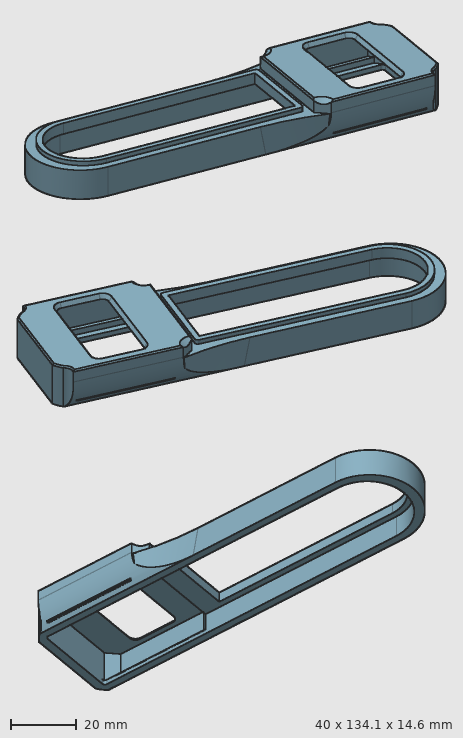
import cadquery as cq
import math

HEAD_HALF_WIDTH = 20.0
HEAD_FRONT_Y = -23.15
HEAD_BACK_Y = 21.75
HEAD_HEIGHT = 14.55
TOTAL_LENGTH = 134.1
TOP_CHAMFER = 0.5

ARM_HALF_WIDTH = 16.85
ARM_HEIGHT = 10.0
ARM_END_Y = HEAD_BACK_Y - TOTAL_LENGTH + ARM_HALF_WIDTH

LIP_HALF_WIDTH = 14.35
LIP_END_Y = ARM_END_Y + 1.0
LIP_HEIGHT = 1.5
LIP_WALL = 2.0
LIP_START_Y = -25.4
CORNER_RADIUS = 1.0
RECESS_DEPTH = 7.75

SIDE_ARC_Z = 10.5
SIDE_INSET = HEAD_HALF_WIDTH - ARM_HALF_WIDTH
SIDE_RADIUS = (SIDE_ARC_Z**2 + SIDE_INSET**2) / (2 * SIDE_INSET)

SHOULDER_START = (13.95, HEAD_BACK_Y)
SHOULDER_MIDDLE = (15.6, 20.5)
SHOULDER_END = (16.75, 19.3)
HOLLOW_MIDDLE = (17.6, 18.0)
HOLLOW_END = (HEAD_HALF_WIDTH, 17.35)

FRONT_CUT_X = 3.4
FRONT_CUT_Y = 4.2
DISH_RADIUS = 4.3
DISH_DEPTH = 3.0
DISH_BOTTOM_RADIUS = 0.2
DISH_Y = -22.4

FLARE_RADIUS = 92.0
FLARE_START_Y = HEAD_FRONT_Y + FRONT_CUT_Y
FLARE_TOP_END_Y = -42.1
FLARE_BOTTOM_END_Y = -40.2

PLATE_THICKNESS = 1.5
WINDOW_HALF_X = 17.0
WINDOW_HALF_Y = 9.4
WINDOW_RADIUS = 3.0
WINDOW_TAPER = 1.0

POCKET_BACK_Y = 18.75
POCKET_FRONT_Y = -20.5
LOWER_STEP_Z = 1.8
LOWER_STEP_HALF_WIDTH = 16.5
UPPER_STEP_Z = 3.8
UPPER_STEP_HALF_WIDTH = 17.9

SLOT_BACK_Y = 15.4
SLOT_FRONT_Y = -16.95
SLOT_HEIGHT = 0.5
SLOT_INNER_X = 17.5


def box(x_min, x_max, y_min, y_max, z_min, z_max):
    size = (x_max - x_min, y_max - y_min, z_max - z_min)
    return cq.Workplane("XY").box(*size, centered=False).translate((x_min, y_min, z_min))


def both_sides(solid):
    return solid.union(solid.mirror("YZ"))


def round_ended(half_width, start_y, centre_y, z_min, height):
    """Flat-backed bar with a half-round end centred at centre_y."""
    return (
        cq.Workplane("XY", origin=(0, 0, z_min))
        .moveTo(-half_width, start_y)
        .lineTo(half_width, start_y)
        .lineTo(half_width, centre_y)
        .threePointArc((0, centre_y - half_width), (-half_width, centre_y))
        .close()
        .extrude(height)
    )


def side_profile(start_y, end_y, height):
    """Bar along Y whose cross-section has the rounded head sides."""
    angle = math.asin(SIDE_ARC_Z / SIDE_RADIUS) / 2
    middle_x = HEAD_HALF_WIDTH - SIDE_RADIUS * (1 - math.cos(angle))
    middle_z = SIDE_ARC_Z - SIDE_RADIUS * math.sin(angle)
    return (
        cq.Workplane("XZ", origin=(0, end_y, 0))
        .moveTo(-ARM_HALF_WIDTH, 0)
        .lineTo(ARM_HALF_WIDTH, 0)
        .threePointArc((middle_x, middle_z), (HEAD_HALF_WIDTH, SIDE_ARC_Z))
        .lineTo(HEAD_HALF_WIDTH, height)
        .lineTo(-HEAD_HALF_WIDTH, height)
        .lineTo(-HEAD_HALF_WIDTH, SIDE_ARC_Z)
        .threePointArc((-middle_x, middle_z), (-ARM_HALF_WIDTH, 0))
        .close()
        .extrude(end_y - start_y)
    )


def mirrored(point):
    return (-point[0], point[1])


def make_head():
    block = (
        cq.Workplane("XY")
        .moveTo(-HEAD_HALF_WIDTH, HEAD_FRONT_Y)
        .lineTo(HEAD_HALF_WIDTH, HEAD_FRONT_Y)
        .lineTo(*HOLLOW_END)
        .threePointArc(HOLLOW_MIDDLE, SHOULDER_END)
        .threePointArc(SHOULDER_MIDDLE, SHOULDER_START)
        .lineTo(*mirrored(SHOULDER_START))
        .threePointArc(mirrored(SHOULDER_MIDDLE), mirrored(SHOULDER_END))
        .threePointArc(mirrored(HOLLOW_MIDDLE), mirrored(HOLLOW_END))
        .close()
        .extrude(HEAD_HEIGHT)
        .faces(">Z")
        .edges()
        .chamfer(TOP_CHAMFER)
    )
    head = block.intersect(side_profile(HEAD_FRONT_Y, HEAD_BACK_Y, HEAD_HEIGHT))
    return head.cut(both_sides(front_corner_cut()))


def front_corner_cut():
    corner = (
        cq.Workplane("XY")
        .moveTo(HEAD_HALF_WIDTH, HEAD_FRONT_Y)
        .lineTo(HEAD_HALF_WIDTH, HEAD_FRONT_Y + FRONT_CUT_Y)
        .lineTo(HEAD_HALF_WIDTH - FRONT_CUT_X, HEAD_FRONT_Y)
        .close()
        .extrude(HEAD_HEIGHT)
    )
    dish = cq.Solid.makeCone(
        DISH_BOTTOM_RADIUS,
        DISH_RADIUS,
        DISH_DEPTH,
        pnt=cq.Vector(HEAD_HALF_WIDTH, DISH_Y, HEAD_HEIGHT - DISH_DEPTH),
    )
    return corner.union(cq.Workplane(obj=dish))


def flare_outline(z, end_y):
    """Half of the flare in plan, its hollow side arc tangent to the arm at end_y."""

    def arc_x(y):
        return ARM_HALF_WIDTH + FLARE_RADIUS - math.sqrt(FLARE_RADIUS**2 - (y - end_y) ** 2)

    middle_y = (FLARE_START_Y + end_y) / 2
    return (
        cq.Workplane("XY", origin=(0, 0, z))
        .moveTo(0, FLARE_START_Y)
        .lineTo(arc_x(FLARE_START_Y), FLARE_START_Y)
        .threePointArc((arc_x(middle_y), middle_y), (ARM_HALF_WIDTH, end_y))
        .lineTo(0, end_y)
        .close()
        .wires()
        .val()
    )


def make_flares():
    wires = [flare_outline(0, FLARE_BOTTOM_END_Y), flare_outline(ARM_HEIGHT, FLARE_TOP_END_Y)]
    flare = cq.Workplane(obj=cq.Solid.makeLoft(wires, True))
    return both_sides(flare).intersect(side_profile(FLARE_TOP_END_Y, FLARE_START_Y, HEAD_HEIGHT))


def make_arm():
    arm = round_ended(ARM_HALF_WIDTH, FLARE_START_Y, ARM_END_Y, 0, ARM_HEIGHT)
    lip = round_ended(LIP_HALF_WIDTH, LIP_START_Y, LIP_END_Y, ARM_HEIGHT, LIP_HEIGHT)
    return arm.union(lip.edges("|Z and >Y").fillet(CORNER_RADIUS))


def make_arm_opening():
    return round_ended(
        LIP_HALF_WIDTH - LIP_WALL, LIP_START_Y - LIP_WALL, LIP_END_Y, 0, ARM_HEIGHT + LIP_HEIGHT
    )


def make_recess():
    recess = round_ended(LIP_HALF_WIDTH, POCKET_BACK_Y, LIP_END_Y, 0, RECESS_DEPTH)
    return recess.edges("|Z and >Y").fillet(CORNER_RADIUS)


def pocket_step(half_width, z_min):
    """Pocket level up to the plate, its 45 degree corners starting at the recess walls."""
    corner = half_width - LIP_HALF_WIDTH
    top_z = HEAD_HEIGHT - PLATE_THICKNESS
    step = box(-half_width, half_width, POCKET_FRONT_Y, POCKET_BACK_Y, z_min, top_z)
    return step.edges("|Z").chamfer(corner)


def make_window():
    taper_angle = math.degrees(math.atan(WINDOW_TAPER / PLATE_THICKNESS))
    sketch = cq.Sketch().rect(2 * WINDOW_HALF_X, 2 * WINDOW_HALF_Y).vertices().fillet(WINDOW_RADIUS)
    return (
        cq.Workplane("XY", origin=(0, 0, HEAD_HEIGHT))
        .placeSketch(sketch)
        .extrude(-PLATE_THICKNESS, taper=taper_angle)
    )


def make_side_slots():
    slot = box(
        SLOT_INNER_X,
        HEAD_HALF_WIDTH,
        SLOT_FRONT_Y,
        SLOT_BACK_Y,
        LOWER_STEP_Z,
        LOWER_STEP_Z + SLOT_HEIGHT,
    )
    return both_sides(slot)


body = make_head().union(make_flares()).union(make_arm())
result = (
    body.cut(make_arm_opening())
    .cut(make_recess())
    .cut(pocket_step(LOWER_STEP_HALF_WIDTH, LOWER_STEP_Z))
    .cut(pocket_step(UPPER_STEP_HALF_WIDTH, UPPER_STEP_Z))
    .cut(make_window())
    .cut(make_side_slots())
)